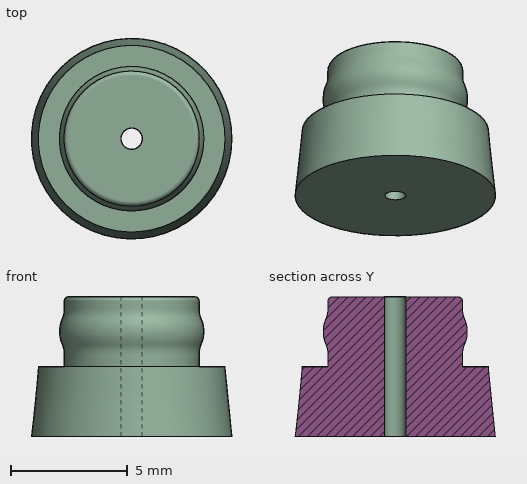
import cadquery as cq
import math

base_bottom_diameter = 8.6
base_top_diameter = 8.0
base_height = 3.0

plug_diameter = 5.8
plug_height = 3.0
top_edge_radius = 0.2

bulge_diameter = 6.2
bulge_center_height = 4.51
crest_half_height = 0.54
bulge_half_height = 0.95

hole_diameter = 0.9

total_height = base_height + plug_height
base_bottom_radius = base_bottom_diameter / 2
base_top_radius = base_top_diameter / 2
plug_radius = plug_diameter / 2
bulge_radius = bulge_diameter / 2

blend_height = bulge_half_height - crest_half_height
bulge_rise = bulge_radius - plug_radius
blend_rise = bulge_rise * blend_height / bulge_half_height
crest_edge_radius = plug_radius + blend_rise


def rise_at_half_height(height, rise):
    """Radial rise halfway up an arc that starts along the plug wall."""
    arc_radius = (height**2 + rise**2) / (2 * rise)
    return arc_radius - math.sqrt(arc_radius**2 - (height / 2) ** 2)


def body():
    """Base, plug and snap ring as one turned profile."""
    blend_middle_radius = plug_radius + rise_at_half_height(blend_height, blend_rise)
    blend_middle_offset = bulge_half_height - blend_height / 2
    profile = (
        cq.Workplane("XZ")
        .lineTo(base_bottom_radius, 0)
        .lineTo(base_top_radius, base_height)
        .lineTo(plug_radius, base_height)
        .lineTo(plug_radius, bulge_center_height - bulge_half_height)
        .threePointArc(
            (blend_middle_radius, bulge_center_height - blend_middle_offset),
            (crest_edge_radius, bulge_center_height - crest_half_height),
        )
        .threePointArc(
            (bulge_radius, bulge_center_height),
            (crest_edge_radius, bulge_center_height + crest_half_height),
        )
        .threePointArc(
            (blend_middle_radius, bulge_center_height + blend_middle_offset),
            (plug_radius, bulge_center_height + bulge_half_height),
        )
        .lineTo(plug_radius, total_height)
        .lineTo(0, total_height)
        .close()
    )
    return profile.revolve(360, (0, 0, 0), (0, 1, 0))


def center_hole():
    return cq.Workplane("XY").circle(hole_diameter / 2).extrude(total_height)


result = body().faces(">Z").edges().fillet(top_edge_radius).cut(center_hole())